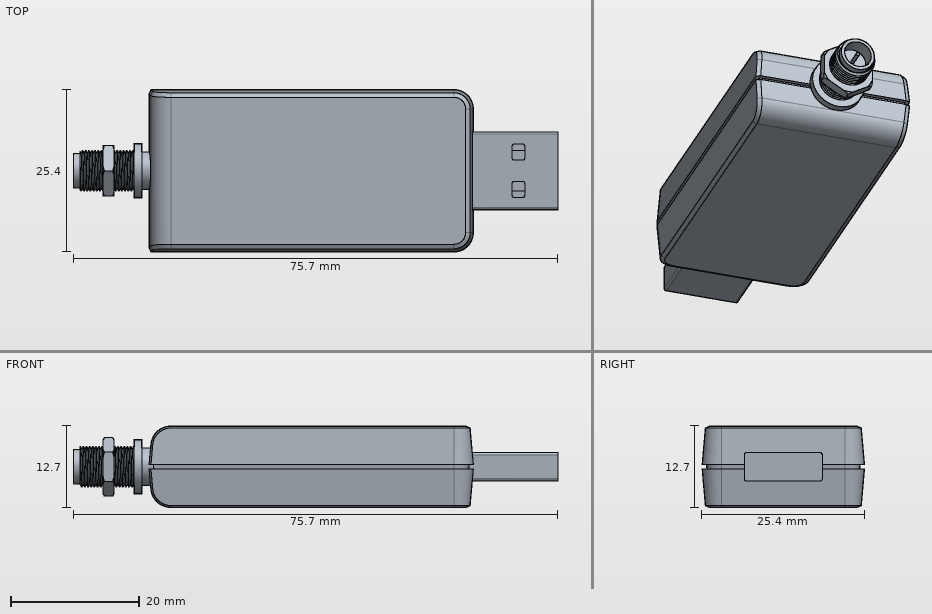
import cadquery as cq
import math

TOTAL_LENGTH = 75.7

CASE_START = 11.8
CASE_LENGTH = 50.65
CASE_WIDTH = 25.4
CASE_HEIGHT = 12.7
CASE_DRAFT = 5.0
CASE_CORNER_RADIUS = 3.0
CASE_NOSE_RADIUS = 3.2
BEVEL_WIDTH = 0.7
BEVEL_DEPTH = 0.3
GROOVE_HEIGHT = 0.7
GROOVE_DEPTH = 0.7
INSERTION = 1.5

USB_WIDTH = 12.2
USB_HEIGHT = 4.5
USB_EDGE_RADIUS = 0.4
WINDOW_LENGTH = 2.0
WINDOW_WIDTH = 2.5
WINDOW_CORNER_RADIUS = 0.3
WINDOW_SPACING = 5.8
WINDOW_FROM_END = 6.2
LEDGE_DEPTH = 0.3
SLOT_WIDTH = 1.0
SLOT_DEPTH = 1.5

BARREL_RADIUS = 2.7
THREAD_RADIUS = 3.2
THREAD_ROOT_RADIUS = 2.76
THREAD_START = 1.05
THREAD_PITCH = 0.49
THREAD_CREST = 0.02
THREAD_CLEARANCE = 0.015
THREAD_START_ANGLE = 180.0
FLANGE_START = 9.5
FLANGE_END = 10.7
FLANGE_RADIUS = 4.25
NECK_RADIUS = 2.95
BORE_RADIUS = 2.2
BORE_DEPTH = 2.65
CONTACT_RADIUS = 0.265

NUT_START = 4.6
NUT_END = 6.35
NUT_FLATS = 7.95
NUT_CHAMFER_DEPTH = 0.2
NUT_CHAMFER_WIDTH = 0.4

CASE_END = CASE_START + CASE_LENGTH
THREAD_END = FLANGE_START + 2 * THREAD_PITCH
HALF_BASE = GROOVE_HEIGHT / 2
HALF_HEIGHT = CASE_HEIGHT / 2 - HALF_BASE
USB_START = CASE_END - INSERTION
NECK_END = CASE_START + INSERTION


def axis_plane(x):
    """Plane square to the connector axis, its first direction pointing up."""
    return cq.Workplane(cq.Plane(origin=(x, 0, 0), xDir=(0, 0, 1), normal=(1, 0, 0)))


def axis_cylinder(radius, start, end):
    """Round bar on the connector axis between two X positions."""
    return axis_plane(start).circle(radius).extrude(end - start)


def thread_groove():
    """Helical V cutter that leaves a narrow crest along the whole thread."""
    start = THREAD_START - THREAD_PITCH
    outer_radius = THREAD_RADIUS + THREAD_CLEARANCE
    half_width = (THREAD_PITCH - THREAD_CREST) / 2
    length = THREAD_END - THREAD_PITCH / 2 - start
    helix = cq.Wire.makeHelix(THREAD_PITCH, length, THREAD_ROOT_RADIUS, dir=cq.Vector(1, 0, 0))
    profile = (
        cq.Workplane("XZ")
        .polyline([(-half_width, outer_radius), (half_width, outer_radius), (0, THREAD_ROOT_RADIUS)])
        .close()
    )
    groove = profile.sweep(cq.Workplane(helix), isFrenet=True)
    return groove.rotate((0, 0, 0), (1, 0, 0), THREAD_START_ANGLE).translate((start, 0, 0))


def hexagon():
    """Hexagonal plate with a corner on top and turned chamfers on both faces."""
    corner_radius = NUT_FLATS / math.sqrt(3)
    plate = axis_plane(NUT_START).polygon(6, 2 * corner_radius).extrude(NUT_END - NUT_START)
    turned = axis_cylinder(corner_radius, NUT_START, NUT_END).faces("<X or >X")
    return plate.intersect(turned.chamfer(NUT_CHAMFER_DEPTH, NUT_CHAMFER_WIDTH))


def make_connector():
    """Barrel, thread, flange, neck and hexagon as one body, with a socket and its centre contact."""
    body = axis_cylinder(THREAD_RADIUS, THREAD_START, THREAD_END).cut(thread_groove())
    body = body.union(axis_cylinder(BARREL_RADIUS, 0, FLANGE_START))
    body = body.union(axis_cylinder(FLANGE_RADIUS, FLANGE_START, FLANGE_END))
    body = body.union(axis_cylinder(NECK_RADIUS, FLANGE_END, NECK_END))
    body = body.union(hexagon())
    body = body.cut(axis_cylinder(BORE_RADIUS, 0, BORE_DEPTH))
    return body.union(axis_cylinder(CONTACT_RADIUS, 0, BORE_DEPTH))


def usb_envelope():
    """Plug without its windows; it also shapes the seat in the case."""
    return (
        cq.Workplane("YZ", origin=(USB_START, 0, 0))
        .rect(USB_WIDTH, USB_HEIGHT)
        .extrude(TOTAL_LENGTH - USB_START)
        .edges("|X")
        .fillet(USB_EDGE_RADIUS)
    )


def make_usb_plug():
    """Plug with two windows, each deep along its outer side and shallow over an inner ledge."""
    plug = usb_envelope()
    x = TOTAL_LENGTH - WINDOW_FROM_END
    top = USB_HEIGHT / 2
    for side in (-1, 1):
        window_y = side * WINDOW_SPACING / 2
        ledge_y = window_y - side * SLOT_WIDTH
        window = (
            cq.Workplane("XY", origin=(x, window_y, top))
            .rect(WINDOW_LENGTH, WINDOW_WIDTH)
            .extrude(-SLOT_DEPTH)
            .edges("|Z")
            .fillet(WINDOW_CORNER_RADIUS)
        )
        ledge = (
            cq.Workplane("XY", origin=(x, ledge_y, top - LEDGE_DEPTH))
            .rect(WINDOW_LENGTH, WINDOW_WIDTH)
            .extrude(-SLOT_DEPTH)
        )
        plug = plug.cut(window.cut(ledge))
    return plug


def drafted_block(inset, base, height):
    """Case outline, pulled in by an inset, rising with the draft; round corners at the USB end."""
    return (
        cq.Workplane("XY", origin=((CASE_START + CASE_END) / 2, 0, base))
        .sketch()
        .rect(CASE_LENGTH - 2 * inset, CASE_WIDTH - 2 * inset)
        .vertices(">X")
        .fillet(CASE_CORNER_RADIUS - inset)
        .finalize()
        .extrude(height, taper=CASE_DRAFT)
    )


def bevelled_half():
    """Solid upper half: rolled nose at the connector end, then one bevel along the whole rim."""
    half = drafted_block(0, HALF_BASE, HALF_HEIGHT)
    half = half.faces(">Z").edges("<X").fillet(CASE_NOSE_RADIUS)
    return half.faces(">Z").edges(">X").chamfer(BEVEL_WIDTH, BEVEL_DEPTH)


def cut_inserts(half):
    """Remove the seats of the connector neck and the USB plug."""
    neck = axis_cylinder(NECK_RADIUS, CASE_START, NECK_END)
    return half.cut(neck).cut(usb_envelope())


def make_upper_case():
    """Upper half with the recessed tongue that fills the parting groove."""
    tongue = drafted_block(GROOVE_DEPTH, HALF_BASE, GROOVE_HEIGHT).mirror("XY", (0, 0, HALF_BASE))
    return cut_inserts(bevelled_half().union(tongue))


def make_lower_case():
    """Lower half with a flat rim, on which the tongue rests."""
    return cut_inserts(bevelled_half().mirror("XY"))


upper_case = make_upper_case()
lower_case = make_lower_case()
usb_plug = make_usb_plug()
connector = make_connector()
result = cq.Compound.makeCompound([upper_case.val(), lower_case.val(), usb_plug.val(), connector.val()])